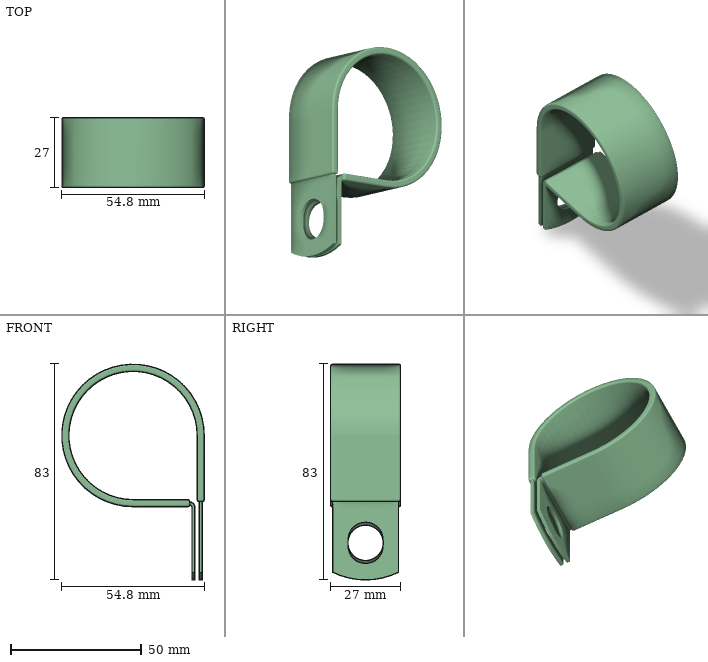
import cadquery as cq
import math


inner_radius = 49.2125 / 2
strap_thickness = 1.2192
strap_width = 25.4
cushion_cover = 0.79375
leg_gap = 1.5875
leg_bottom_z = -55.55
leg_tip_radius = 28.575
hole_diameter = 13.49375
slot_length = 15.875
bend_drop = 0.16
hole_to_leg_bottom = 14.2875

cushion_thickness = strap_thickness + 2 * cushion_cover
cushion_width = strap_width + 2 * cushion_cover
strap_inner_radius = inner_radius + cushion_cover
outer_leg_x = strap_inner_radius
inner_leg_x = outer_leg_x - leg_gap - strap_thickness
bend_inner_radius = cushion_cover
bend_x = inner_leg_x - bend_inner_radius
straight_cushion_end_z = -strap_inner_radius
hole_z = leg_bottom_z + hole_to_leg_bottom
cut_length = 4 * inner_radius
diagonal = math.sqrt(0.5)


def open_loop(radius, thickness, width, straight_end_z):
    """Three-quarter ring with a straight run down at +X and a flat run along the bottom."""
    outer = radius + thickness
    profile = (
        cq.Workplane("XZ")
        .moveTo(radius, straight_end_z)
        .lineTo(radius, 0)
        .threePointArc((-radius * diagonal, radius * diagonal), (0, -radius))
        .lineTo(bend_x, -radius)
        .lineTo(bend_x, -outer)
        .lineTo(0, -outer)
        .threePointArc((-outer * diagonal, outer * diagonal), (outer, 0))
        .lineTo(outer, straight_end_z)
        .close()
    )
    return profile.extrude(width / 2, both=True)


def make_cushion():
    """Rubber cover with every edge rounded, both along its length and at its two ends."""
    cushion = open_loop(inner_radius, cushion_thickness, cushion_width, straight_cushion_end_z)
    middle_radius = inner_radius + cushion_thickness / 2
    straight_end_centre = (middle_radius, 0, straight_cushion_end_z)
    flat_end_centre = (bend_x, 0, -middle_radius)
    side_edges = cushion.faces("<Y or >Y").edges()
    straight_end_edges = cushion.faces(
        cq.selectors.NearestToPointSelector(straight_end_centre)).edges("|Y")
    flat_end_edges = cushion.faces(
        cq.selectors.NearestToPointSelector(flat_end_centre)).edges("|Y")
    rounded_edges = side_edges.add(straight_end_edges).add(flat_end_edges)
    return cushion.newObject(rounded_edges.vals()).fillet(cushion_cover)


def make_strap():
    """Metal strap: loop inside the cushion, the straight leg and the bent leg."""
    loop = open_loop(strap_inner_radius, strap_thickness, strap_width, leg_bottom_z)
    bend_outer_radius = bend_inner_radius + strap_thickness
    bend_z = -strap_inner_radius - bend_drop - bend_outer_radius
    bent_leg = (
        cq.Workplane("XZ")
        .moveTo(bend_x, bend_z + bend_outer_radius)
        .threePointArc(
            (bend_x + bend_outer_radius * diagonal, bend_z + bend_outer_radius * diagonal),
            (bend_x + bend_outer_radius, bend_z),
        )
        .lineTo(bend_x + bend_outer_radius, leg_bottom_z)
        .lineTo(inner_leg_x, leg_bottom_z)
        .lineTo(inner_leg_x, bend_z)
        .threePointArc(
            (bend_x + bend_inner_radius * diagonal, bend_z + bend_inner_radius * diagonal),
            (bend_x, bend_z + bend_inner_radius),
        )
        .close()
        .extrude(strap_width / 2, both=True)
    )
    return loop.union(bent_leg)


def tip_waste():
    """Corners removed from the legs below the arc of their lower end."""
    half_width = strap_width / 2
    tip_rise = leg_tip_radius - math.sqrt(leg_tip_radius**2 - half_width**2)
    corner_z = leg_bottom_z + tip_rise
    floor_z = leg_bottom_z - tip_rise
    return (
        cq.Workplane("YZ")
        .moveTo(-half_width, corner_z)
        .threePointArc((0, leg_bottom_z), (half_width, corner_z))
        .lineTo(half_width, floor_z)
        .lineTo(-half_width, floor_z)
        .close()
        .extrude(cut_length / 2, both=True)
    )


def round_hole():
    """Round bolt hole through the bent leg."""
    return (
        cq.Workplane("YZ", origin=(inner_leg_x, 0, hole_z))
        .circle(hole_diameter / 2)
        .extrude(strap_thickness)
    )


def adjustment_slot():
    """Vertical bolt slot through the straight leg, centred on the round hole."""
    return (
        cq.Workplane("YZ", origin=(outer_leg_x, 0, hole_z))
        .slot2D(slot_length, hole_diameter, angle=90)
        .extrude(strap_thickness)
    )


strap = make_strap().cut(tip_waste()).cut(round_hole()).cut(adjustment_slot())
result = make_cushion().union(strap)